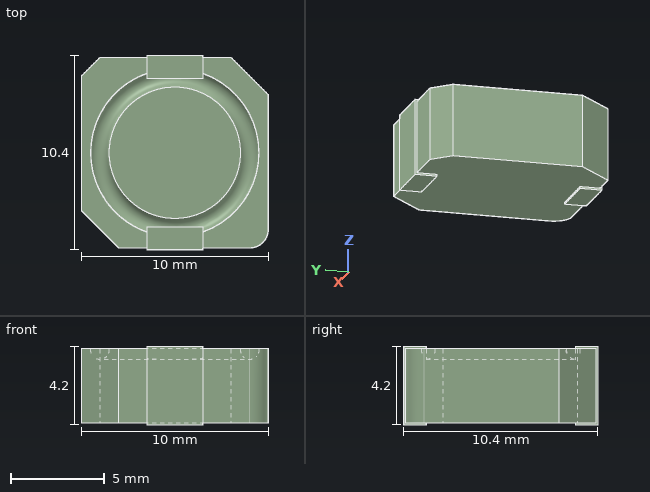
import cadquery as cq

length_y = 10.4
width_x = 10.0
height_z = 4.2

clip_thickness = 0.1
clip_width = 3.0
clip_reach = 1.22

body_y = length_y - 2 * clip_thickness
body_z = height_z - 2 * clip_thickness
small_corner = 1.0
large_corner = 2.0

groove_outer_radius = 4.49
disc_radius = 3.52
disc_wall_depth = 0.1
groove_depth = 0.59
groove_middle_radius = (groove_outer_radius + disc_radius) / 2


def make_body():
    """Block with three bevelled corners and one rounded corner."""
    block = cq.Workplane("XY").box(width_x, body_y, body_z)
    block = block.edges("|Z").edges("<(1,-1,0)").chamfer(small_corner)
    block = block.edges("|Z").edges(">(1,1,0)").chamfer(large_corner)
    block = block.edges("|Z").edges("<(1,1,0)").chamfer(large_corner)
    return block.edges("|Z").edges(">(1,-1,0)").fillet(small_corner)


def make_groove():
    """Ring cutter for the top face: rounded floor and a short straight wall at the disc."""
    top = body_z / 2
    wall_foot = top - disc_wall_depth
    return (
        cq.Workplane("XZ")
        .moveTo(disc_radius, top)
        .lineTo(disc_radius, wall_foot)
        .threePointArc(
            (groove_middle_radius, top - groove_depth),
            (groove_outer_radius, top),
        )
        .close()
        .revolve(360, (0, 0), (0, 1))
    )


def make_clip(side):
    """Solid bar across one end, full height; side is +1 or -1 along Y."""
    return (
        cq.Workplane("XY")
        .box(clip_width, clip_reach, height_z)
        .translate((0, side * (length_y - clip_reach) / 2, 0))
    )


result = make_body().cut(make_groove())
for side in (1, -1):
    result = result.union(make_clip(side))